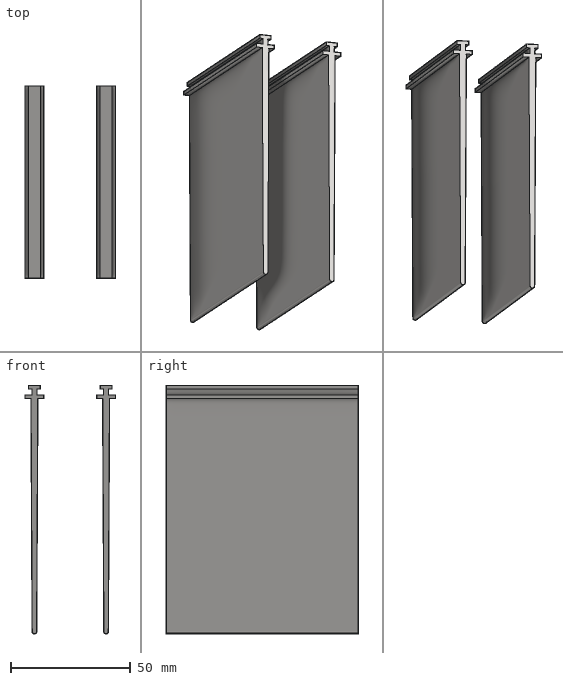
import cadquery as cq

length = 80.5
height = 104.0
pitch = 30.0
panel_count = 2

head_width = 5.0
head_thickness = 1.6
neck_width = 2.2
neck_height = 2.4
flange_width = 8.0
flange_thickness = 1.6

blade_top_width = 3.0
blade_bottom_width = 2.0
tip_height = 0.95

head_bottom = height - head_thickness
flange_top = head_bottom - neck_height
flange_bottom = flange_top - flange_thickness


def make_panel(center_x):
    """One panel: the cross-section in XZ, extruded along Y and centred on Y = 0."""
    profile = (
        cq.Workplane("XZ", origin=(center_x, length / 2, 0))
        .moveTo(-head_width / 2, height)
        .lineTo(head_width / 2, height)
        .lineTo(head_width / 2, head_bottom)
        .lineTo(neck_width / 2, head_bottom)
        .lineTo(neck_width / 2, flange_top)
        .lineTo(flange_width / 2, flange_top)
        .lineTo(flange_width / 2, flange_bottom)
        .lineTo(blade_top_width / 2, flange_bottom)
        .lineTo(blade_bottom_width / 2, tip_height)
        .threePointArc((0, 0), (-blade_bottom_width / 2, tip_height))
        .lineTo(-blade_top_width / 2, flange_bottom)
        .lineTo(-flange_width / 2, flange_bottom)
        .lineTo(-flange_width / 2, flange_top)
        .lineTo(-neck_width / 2, flange_top)
        .lineTo(-neck_width / 2, head_bottom)
        .lineTo(-head_width / 2, head_bottom)
        .close()
    )
    return profile.extrude(length)


first_x = -pitch * (panel_count - 1) / 2
panels = [make_panel(first_x + i * pitch) for i in range(panel_count)]

result = cq.Compound.makeCompound([panel.val() for panel in panels])